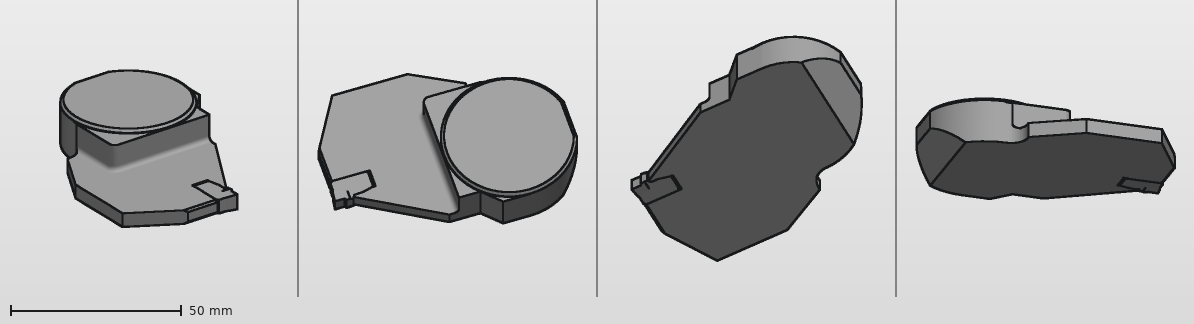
import cadquery as cq
import math

disc_radius = 20.0
holder_height = 14.15
rim_chamfer = 0.95
flat_x = -18.95
under_bevel = 7.6

block_height = holder_height - 1.15
block_front_y = -20.3
block_right_x = 20.2
block_corner_radius = 1.95
root_fillet = 1.5

plate_thickness = 4.5
plate_back_y = 14.7
plate_front_y = -34.05
plate_right_x = 53.1
back_slope_start_x = 23.15
back_slope_angle = 30
front_left_x = block_right_x
front_right_x = 43.4
right_edge_front_y = -17.35
neck_radius = 5.0
neck_end_y = -25.85
edge_bevel = 0.65

seat_left_x = 40.7
seat_floor_y = -6.7
seat_rib_width = 0.6
seat_rib_back_y = -1.2
insert_corner = 0.65
seat_ridge_x = seat_left_x + seat_rib_width
seat_rib_front_y = seat_floor_y + insert_corner

shoulder = (45.0, -0.35)
neck_base = (47.55, -0.3)
insert_back_y = 0.7
insert_back_left_x = 48.2
head_left_x = 49.1
head_back_x = 50.25
head_step_x = 50.7
cutting_edge_y = 0.15
tip_x = 72.6 + flat_x
tip_relief = (53.35, -2.5)
rake_start = (head_left_x, -1.95)
rake_end = (plate_right_x, -3.6)
rake_rise = 0.2
rake_run = 3.85

insert_back_points = [
    (seat_ridge_x, seat_rib_back_y),
    shoulder,
    neck_base,
    (insert_back_left_x, insert_back_y),
]


def prism(points, height):
    return cq.Workplane("XY").polyline(points).close().extrude(height)


def make_plate():
    slope_drop = (plate_right_x - back_slope_start_x) * math.tan(math.radians(back_slope_angle))
    neck_center_y = -disc_radius - neck_radius
    neck_end_x = math.sqrt(neck_radius**2 - (neck_end_y - neck_center_y) ** 2)
    diagonal = neck_radius / math.sqrt(2)
    plate = (
        cq.Workplane("XY")
        .moveTo(0, plate_back_y)
        .lineTo(back_slope_start_x, plate_back_y)
        .lineTo(plate_right_x, plate_back_y - slope_drop)
        .lineTo(plate_right_x, right_edge_front_y)
        .lineTo(front_right_x, plate_front_y)
        .lineTo(front_left_x, plate_front_y)
        .lineTo(neck_end_x, neck_end_y)
        .threePointArc((diagonal, neck_center_y + diagonal), (0, -disc_radius))
        .close()
        .extrude(plate_thickness)
    )
    return plate.faces(">X").edges("|Y").chamfer(edge_bevel)


def make_neck_cutter():
    """Cylinder that forms the concave neck, tangent to the disc at its front."""
    return (
        cq.Workplane("XY")
        .center(0, -disc_radius - neck_radius)
        .circle(neck_radius)
        .extrude(holder_height)
    )


def make_block():
    return (
        cq.Workplane("XY")
        .box(block_right_x, plate_back_y - block_front_y, block_height, centered=False)
        .translate((0, block_front_y, 0))
        .edges("|Z and >X and <Y")
        .fillet(block_corner_radius)
        .cut(make_neck_cutter())
    )


def make_disc():
    disc = cq.Workplane("XY").circle(disc_radius).extrude(holder_height)
    outside = (
        cq.Workplane("XY")
        .box(disc_radius, 2 * disc_radius, holder_height, centered=(False, True, False))
        .translate((flat_x - disc_radius, 0, 0))
    )
    disc = disc.cut(outside).faces(">Z").edges().chamfer(rim_chamfer)
    bevel = (
        cq.Workplane("XZ")
        .polyline([(flat_x, 0), (flat_x + under_bevel, 0), (flat_x, under_bevel)])
        .close()
        .extrude(disc_radius, both=True)
    )
    return disc.cut(bevel)


def make_back_corner():
    """Corner behind the disc; its slanted side is tangent to the disc at 45 degrees."""
    tangent_sum = disc_radius * math.sqrt(2)
    points = [
        (0, 0),
        (0, disc_radius),
        (tangent_sum - disc_radius, disc_radius),
        (tangent_sum - plate_back_y, plate_back_y),
        (plate_back_y, 0),
    ]
    return prism(points, block_height)


def make_seat():
    """Opening for the insert, with a rib on the left wall beveled to a ridge."""
    reach_x = tip_x + 0.7
    reach_y = insert_back_y + 0.7
    seat = prism(
        insert_back_points
        + [
            (insert_back_left_x, reach_y),
            (reach_x, reach_y),
            (reach_x, seat_floor_y),
            (seat_left_x, seat_floor_y),
            (seat_left_x, seat_rib_back_y),
        ],
        plate_thickness,
    )
    rib = (
        cq.Workplane("XZ", origin=(0, seat_rib_back_y, 0))
        .polyline([
            (seat_left_x, 0),
            (seat_ridge_x, seat_rib_width),
            (seat_ridge_x, plate_thickness - seat_rib_width),
            (seat_left_x, plate_thickness),
        ])
        .close()
        .extrude(seat_rib_back_y - seat_rib_front_y)
    )
    return seat.cut(rib)


def make_root_fillet():
    """Concave fillet along the front and right sides of the block."""
    path = (
        cq.Workplane("XY", origin=(0, 0, plate_thickness))
        .moveTo(0, block_front_y)
        .lineTo(block_right_x - block_corner_radius, block_front_y)
        .radiusArc((block_right_x, block_front_y + block_corner_radius), -block_corner_radius)
        .lineTo(block_right_x, plate_back_y)
    )
    inset = root_fillet * (1 - 1 / math.sqrt(2))
    profile = (
        cq.Workplane("YZ", origin=(0, block_front_y, plate_thickness))
        .lineTo(-root_fillet, 0)
        .threePointArc((-inset, inset), (0, root_fillet))
        .close()
    )
    fillet = profile.sweep(path)
    return fillet.cut(make_neck_cutter())


def make_holder():
    holder = make_plate().union(make_block())
    holder = holder.union(make_root_fillet())
    return holder.union(make_back_corner()).union(make_disc()).cut(make_seat())


def make_head():
    """Cutting head whose upper and lower rake faces rise away from the insert body."""
    outline = prism(
        [
            rake_start,
            (head_left_x, insert_back_y),
            (head_back_x, insert_back_y),
            (head_step_x, cutting_edge_y),
            (tip_x, cutting_edge_y),
            tip_relief,
            rake_end,
        ],
        plate_thickness + 2 * rake_rise,
    ).translate((0, 0, -rake_rise))
    run_x = rake_end[0] - rake_start[0]
    run_y = rake_end[1] - rake_start[1]
    rake_plane = cq.Plane(origin=(*rake_start, 0), xDir=(-run_y, run_x, 0), normal=(run_x, run_y, 0))
    wedge = (
        cq.Workplane(rake_plane)
        .polyline([
            (0, 0),
            (rake_run, -rake_rise),
            (rake_run, plate_thickness + rake_rise),
            (0, plate_thickness),
        ])
        .close()
        .extrude(2 * math.hypot(run_x, run_y), both=True)
    )
    return outline.intersect(wedge)


def make_insert():
    shank = prism(
        insert_back_points
        + [
            (head_left_x, insert_back_y),
            rake_start,
            rake_end,
            (plate_right_x, seat_rib_front_y),
            (plate_right_x - insert_corner, seat_floor_y),
            (seat_ridge_x + insert_corner, seat_floor_y),
            (seat_ridge_x, seat_rib_front_y),
        ],
        plate_thickness,
    )
    return shank.union(make_head())


holder = make_holder()
insert = make_insert()
result = cq.Compound.makeCompound([holder.solids().val(), insert.solids().val()])